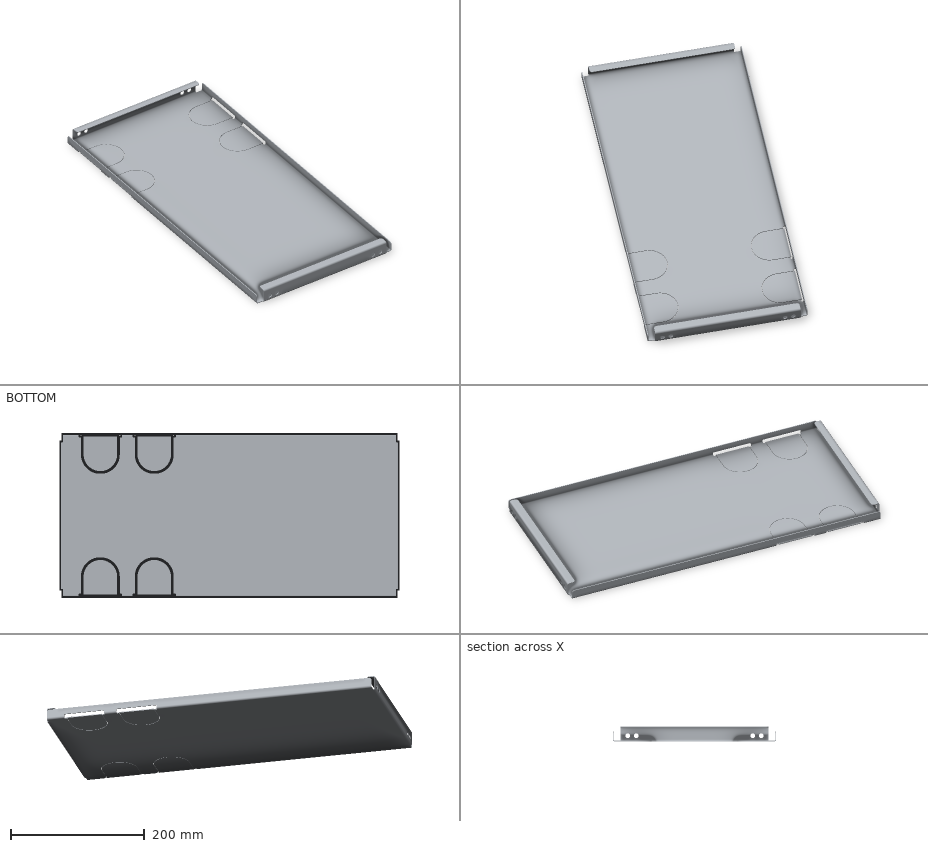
import cadquery as cq

length = 506.5
width = 244.0
clear_height = 20.0
sheet = 1.2
bend_radius = 2.8

end_setback = 3.0
side_wall_height = 15.0
side_wall_corner = 3.5

end_wall_width = 222.0
lip_width = 12.5
lip_corner = 4.0

hole_diameter = 7.0
hole_z = 8.5
hole_places = (87.0, 100.0)

knockout_centers = (-193.0, -112.5)
knockout_width = 54.0
knockout_depth = 57.5
slit_width = 0.8
tab_width = 0.5
tab_length = 4 * slit_width

window_width = 62.0
window_top = 5.5
window_depth = 4.0
knockout_edge_gap = 2.5

height = clear_height + 2 * sheet
floor_length = length - 2 * end_setback


def block(x_size, y_size, z_size, x, y, z=0.0):
    """Box centred on x and y with its bottom face at z."""
    return cq.Workplane("XY").box(x_size, y_size, z_size, centered=(True, True, False)).translate((x, y, z))


def side_walls_and_floor():
    """U-shaped channel: floor with a folded-up wall along each long side."""
    outer = block(floor_length, width, side_wall_height, 0, 0).edges("|X and <Z").fillet(bend_radius)
    inner = block(floor_length, width - 2 * sheet, side_wall_height, 0, 0, sheet)
    inner = inner.edges("|X and <Z").fillet(bend_radius - sheet)
    return outer.cut(inner).edges("|Y and >Z").fillet(side_wall_corner)


def end_walls():
    """Both end walls with their lips, joined by a floor strip of the same width."""
    outer = block(length, end_wall_width, height, 0, 0).edges("|Y").fillet(bend_radius)
    inner = block(length - 2 * sheet, end_wall_width, height - 2 * sheet, 0, 0, sheet)
    inner = inner.edges("|Y").fillet(bend_radius - sheet)
    opening = block(length - 2 * lip_width, end_wall_width, height, 0, 0, sheet)
    lip_edges = cq.selectors.BoxSelector(
        (-length / 2 + 2 * bend_radius, -width, height - 2 * sheet),
        (length / 2 - 2 * bend_radius, width, height + sheet),
    )
    return outer.cut(inner).cut(opening).edges("|Z").edges(lip_edges).fillet(lip_corner)


def end_wall_holes():
    """Round holes running through both end walls."""
    places = [(side * y, hole_z) for side in (-1, 1) for y in hole_places]
    return cq.Workplane("YZ").pushPoints(places).circle(hole_diameter / 2).extrude(length, both=True)


def tongue(center_x, tongue_width, straight_end, base_y):
    """Round-ended plate pointing toward +Y from base_y, as thick as the floor."""
    radius = tongue_width / 2
    return (
        cq.Workplane("XY")
        .moveTo(center_x - radius, base_y)
        .lineTo(center_x - radius, straight_end)
        .threePointArc((center_x, straight_end + radius), (center_x + radius, straight_end))
        .lineTo(center_x + radius, base_y)
        .close()
        .extrude(sheet)
    )


def knockout_cut(center_x):
    """Material removed around one knock-out at the -Y side."""
    wall_y = -width / 2
    straight_end = wall_y + knockout_depth - knockout_width / 2
    hole = tongue(center_x, knockout_width + slit_width, straight_end, wall_y + window_depth)
    plate = tongue(center_x, knockout_width - slit_width, straight_end, wall_y + knockout_edge_gap)
    tab = block(tab_width, tab_length, sheet, center_x, wall_y + knockout_depth)
    window = block(window_width, window_depth, window_top, center_x, wall_y + window_depth / 2)
    return hole.union(window).cut(plate).cut(tab)


result = side_walls_and_floor().union(end_walls()).cut(end_wall_holes())
for x in knockout_centers:
    cutter = knockout_cut(x)
    result = result.cut(cutter).cut(cutter.mirror("XZ"))